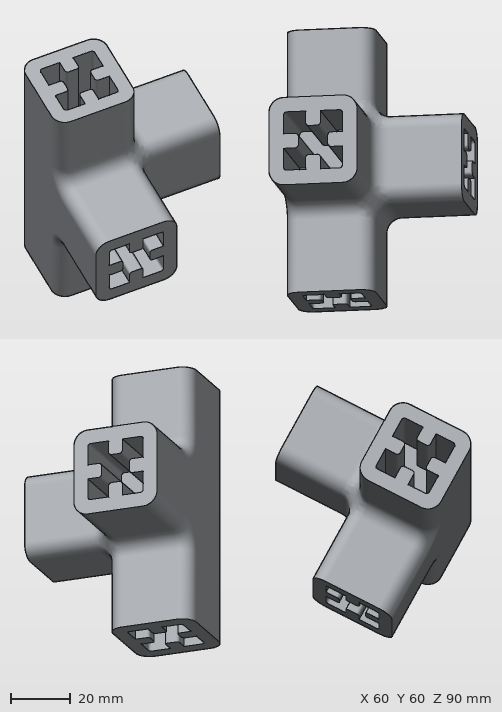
import cadquery as cq

column_height = 90.0
arm_width = column_height / 3
edge_radius = arm_width / 6

socket_wall = edge_radius
rib_width = edge_radius
rib_length = edge_radius
socket_radius = 1.1
socket_depth = arm_width

socket_width = arm_width - 2 * socket_wall
arm_reach = 2 * arm_width
half_height = column_height / 2
axis = arm_width / 2
tolerance = 0.01


def make_arms():
    """Upright column with one arm along +X and one along +Y, outer faces on X = 0 and Y = 0."""
    corner_at_origin = (False, False, True)
    column = cq.Workplane("XY").box(arm_width, arm_width, column_height, centered=corner_at_origin)
    x_arm = cq.Workplane("XY").box(arm_reach, arm_width, arm_width, centered=corner_at_origin)
    y_arm = cq.Workplane("XY").box(arm_width, arm_reach, arm_width, centered=corner_at_origin)
    return column.union(x_arm).union(y_arm).clean()


def lies_on_end_face(edge):
    """True for the edges around the four arm ends, which stay sharp."""
    box = edge.BoundingBox()
    return (
        box.zmin > half_height - tolerance
        or box.zmax < -half_height + tolerance
        or box.xmin > arm_reach - tolerance
        or box.ymin > arm_reach - tolerance
    )


def round_edges(body):
    """Round the long edges and the inner corners between arms in one blend."""
    edges = [edge for edge in body.edges().vals() if not lies_on_end_face(edge)]
    return body.newObject(edges).fillet(edge_radius)


def make_socket():
    """Square socket with a rib in the middle of each side, opening at the origin and running along +Z."""
    socket = cq.Workplane("XY").rect(socket_width, socket_width).extrude(socket_depth)
    socket = socket.edges("|Z").fillet(socket_radius)

    ribs = (
        cq.Workplane("XY")
        .polarArray(socket_width / 2, 0, 360, 4)
        .rect(2 * rib_length, rib_width)
        .extrude(socket_depth)
        .edges("|Z")
        .fillet(socket_radius)
    )
    return socket.cut(ribs)


arm_ends = (
    ((axis, axis, half_height), (0, 0, -1)),
    ((axis, axis, -half_height), (0, 0, 1)),
    ((arm_reach, axis, 0), (-1, 0, 0)),
    ((axis, arm_reach, 0), (0, -1, 0)),
)

result = round_edges(make_arms())
socket = make_socket().val()
for end_center, inward in arm_ends:
    end_plane = cq.Plane(origin=end_center, normal=inward)
    result = result.cut(cq.Workplane(socket.moved(end_plane.location)))